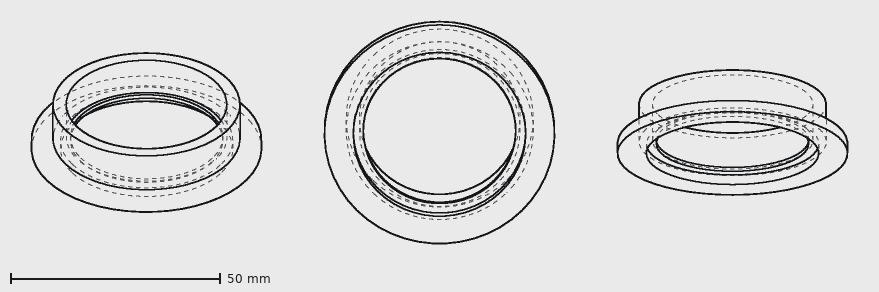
import cadquery as cq

flange_diameter = 55.0
flange_height = 3.0
flange_rim_radius = 0.5
collar_diameter = 44.7
total_height = 12.7
bore_diameter = 38.4
lip_diameter = 36.4
recess_diameter = 41.2
recess_depth = 2.5
lip_thickness = 1.0


def disc(diameter, bottom, top):
    """Solid cylinder on the Z axis between two heights."""
    return cq.Workplane("XY").workplane(offset=bottom).circle(diameter / 2).extrude(top - bottom)


flange = disc(flange_diameter, 0, flange_height)
flange = flange.faces(">Z").edges().fillet(flange_rim_radius)

collar = disc(collar_diameter, 0, total_height)

lip_top = recess_depth + lip_thickness
recess = disc(recess_diameter, 0, recess_depth)
lip_opening = disc(lip_diameter, 0, total_height)
bore = disc(bore_diameter, lip_top, total_height)

result = flange.union(collar).cut(recess).cut(lip_opening).cut(bore)